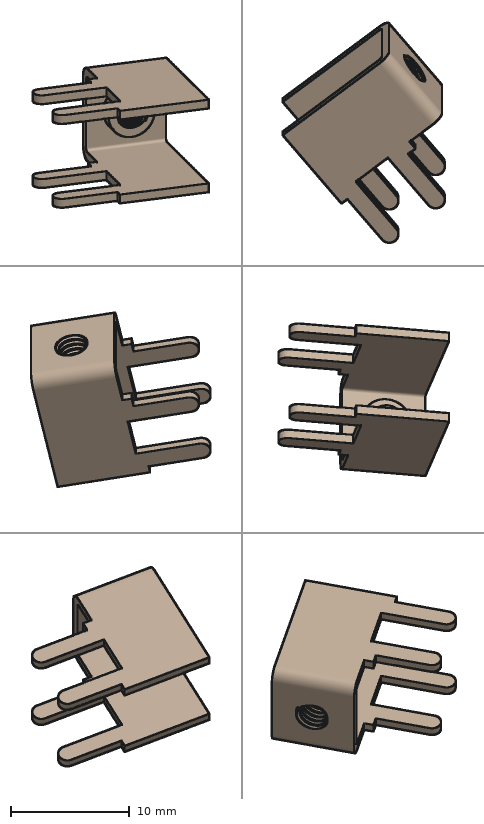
import cadquery as cq
import math

length = 11.48
height = 8.33
depth = 7.14
thickness = 0.8
outer_bend_radius = 1.07
inner_bend_radius = outer_bend_radius - thickness

shoulder_start = 3.5
shoulder_drop = thickness
pin_width = 1.55
pin_radius = pin_width / 2
pin_pitch = 5.0
pin_reach = 6.25
first_pin_x = shoulder_start + thickness + pin_radius
pin_centers = (first_pin_x, first_pin_x + pin_pitch)

boss_diameter = 4.1
boss_end = 2.18
thread_radius = 1.5
thread_pitch = 0.5
half_flank_angle = math.radians(30)
thread_height = thread_pitch / (2 * math.tan(half_flank_angle))
thread_depth = 5 / 8 * thread_height
bore_radius = thread_radius - thread_depth
root_flat = thread_pitch / 8
thread_start_angle = -65.0

front_y = -depth / 2


def box_between(x_min, x_max, y_min, y_max):
    """Block spanning the full height between the given X and Y limits."""
    block = cq.Workplane("XY").box(x_max - x_min, y_max - y_min, height, centered=(False, False, True))
    return block.translate((x_min, y_min, 0))


def make_channel():
    """U-shaped strip with rounded bends, before the pins are added."""
    body = box_between(0, length, front_y, -front_y).edges("|Y and <X").fillet(outer_bend_radius)
    return body.cut(make_opening())


def make_opening():
    """Space between the flanges, long enough in Y to pass the pins too."""
    opening_length = length - thickness
    opening = cq.Workplane("XY").box(opening_length, 2 * (depth + pin_reach), height - 2 * thickness)
    opening = opening.edges("|Y and <X").fillet(inner_bend_radius)
    return opening.translate((thickness + opening_length / 2, 0, 0))


def make_pins():
    """Shoulders and round-ended pins of both flanges."""
    first_pin_end = pin_centers[0] + pin_radius
    second_pin_start = pin_centers[1] - pin_radius
    shoulder_y = front_y - shoulder_drop
    pins = box_between(shoulder_start, first_pin_end, shoulder_y, 0)
    pins = pins.union(box_between(second_pin_start, length, shoulder_y, 0))
    tip_center_y = front_y - pin_reach + pin_radius
    for x in pin_centers:
        tip = cq.Workplane("XY").circle(pin_radius).extrude(height / 2, both=True)
        pins = pins.union(box_between(x - pin_radius, x + pin_radius, tip_center_y, 0))
        pins = pins.union(tip.translate((x, tip_center_y, 0)))
    return pins.cut(make_opening())


def cylinder_along_x(radius, x_min, x_max):
    """Cylinder on the X axis between two X positions."""
    return cq.Workplane("YZ").workplane(offset=x_min).circle(radius).extrude(x_max - x_min)


def make_thread_groove():
    """Right-handed helical groove cutter that runs past both ends of the bore."""
    overrun = 2 * thread_pitch
    overlap = 0.1
    base_radius = bore_radius - overlap
    base_half_width = root_flat / 2 + (thread_radius - base_radius) * math.tan(half_flank_angle)
    helix = cq.Wire.makeHelix(thread_pitch, boss_end + 2 * overrun, base_radius)
    profile = cq.Workplane("XZ").polyline([
        (base_radius, -base_half_width),
        (thread_radius, -root_flat / 2),
        (thread_radius, root_flat / 2),
        (base_radius, base_half_width),
    ]).close()
    groove = profile.sweep(cq.Workplane(obj=helix), isFrenet=True)
    origin = (0, 0, 0)
    x_axis = (1, 0, 0)
    z_axis = (0, 0, 1)
    groove = groove.rotate(origin, z_axis, thread_start_angle)
    groove = groove.rotate(origin, x_axis, 90).rotate(origin, z_axis, 90)
    return groove.translate((-overrun, 0, 0))


channel = make_channel().union(make_pins())
bracket = channel.union(cylinder_along_x(boss_diameter / 2, thickness / 2, boss_end))
bored = bracket.cut(cylinder_along_x(bore_radius, 0, boss_end))
result = bored.cut(make_thread_groove())